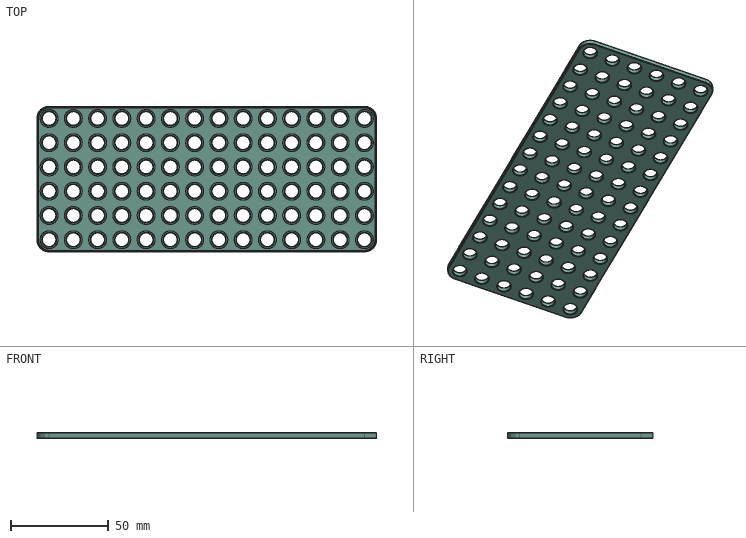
import cadquery as cq

length = 175.0
columns = 14
rows = 6
pitch = length / columns
width = rows * pitch
thickness = 3.2
corner_radius = pitch / 2

edge_chamfer = 0.3

rim_width = 0.8
recess_depth = 0.2

hole_diameter = 7.0
ring_wall = 1.1
ring_diameter = hole_diameter + 2 * ring_wall


def rounded_slab(inset, bottom, height):
    """Slab with the plate outline moved inward by inset, standing on Z = bottom."""
    return (
        cq.Workplane("XY", origin=(0, 0, bottom))
        .rect(length - 2 * inset, width - 2 * inset)
        .extrude(height)
        .edges("|Z")
        .fillet(corner_radius - inset)
    )


def cylinders(diameter, bottom, height):
    """One cylinder in the middle of every cell."""
    return (
        cq.Workplane("XY", origin=(0, 0, bottom))
        .rarray(pitch, pitch, columns, rows)
        .circle(diameter / 2)
        .extrude(height)
    )


def make_hole_cutter():
    """Revolved profile of one hole, widened by a chamfer at both ends."""
    radius = hole_diameter / 2
    mouth_radius = radius + edge_chamfer
    half_height = thickness / 2
    profile = [
        (0, -half_height),
        (mouth_radius, -half_height),
        (radius, -half_height + edge_chamfer),
        (radius, half_height - edge_chamfer),
        (mouth_radius, half_height),
        (0, half_height),
    ]
    return cq.Workplane("XZ").polyline(profile).close().revolve(360, (0, 0), (0, 1)).val()


def make_plate():
    """Rounded plate, centred on the origin, with chamfered outer edges."""
    plate = rounded_slab(0, -thickness / 2, thickness)
    return plate.faces("<Z or >Z").edges().chamfer(edge_chamfer)


def make_recess():
    """Material removed from the top face between the rim and the rings."""
    floor = thickness / 2 - recess_depth
    return rounded_slab(rim_width, floor, recess_depth).cut(cylinders(ring_diameter, floor, recess_depth))


def make_holes():
    """Hole cutters for every cell."""
    cutter = make_hole_cutter()
    cells = cq.Workplane("XY").rarray(pitch, pitch, columns, rows)
    return cells.eachpoint(lambda location: cutter.moved(location))


result = make_plate().cut(make_recess()).cut(make_holes())